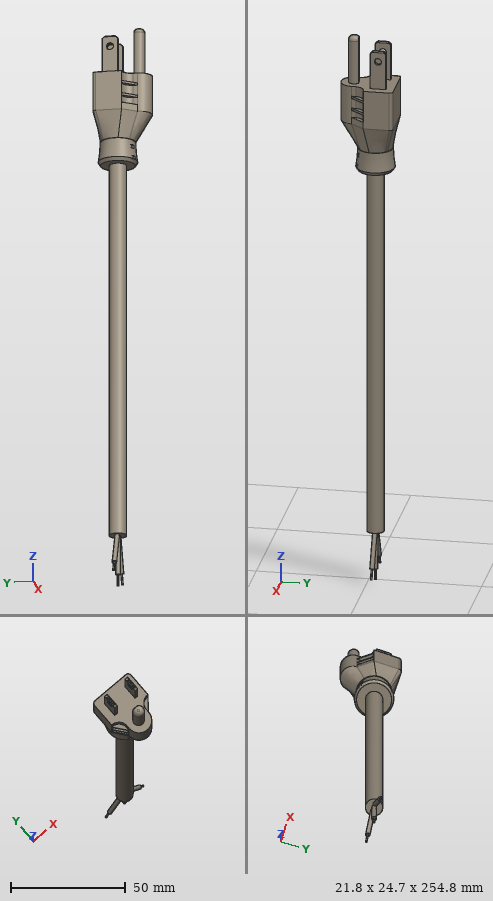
import cadquery as cq
import math


TOTAL_LENGTH = 254.8
CORD_BOTTOM = 23.0
CORD_TOP = 192.6
RIM_Z = 194.2
COLLAR_TOP = 203.0
HEAD_BOTTOM = 215.3
HEAD_TOP = 233.0
BLADE_TOP = 250.5

HEAD_HALF_WIDTH = 10.5
HEAD_BACK_Y = 9.5
HEAD_DEPTH = 24.7
NOSE_RADIUS = 5.5
NOSE_FRONT_Y = HEAD_BACK_Y - HEAD_DEPTH
NOSE_CENTER_Y = NOSE_FRONT_Y + NOSE_RADIUS
SHOULDER_Y = -3.5
BACK_CORNER_RADIUS = 1.5

GRIP_DEPTH = 14.5
GRIP_END_Y = -7.6
GRIP_RADIUS = 4.5
RIB_THICKNESS = 1.0
RIB_DEPTHS = (5.0, 10.7)

NECK_RADIUS = 7.6
COLLAR_RADIUS = 8.0
RIM_RADIUS = 8.7
COLLAR_END_RADIUS = 7.6
BACK_ANGLE = 53
SIDE_ANGLE = 45
SHOULDER_ANGLE = -11
NOSE_ANGLE = -52

RECESS_SIZE = 1.5
RECESS_DEPTH = 1.0
RECESS_X = 3.3
RECESS_HEIGHTS = (195.0, 200.0)

BLADE_X = 5.9
BLADE_Y = 2.3
BLADE_WIDTH = 7.0
BLADE_THICKNESS = 1.5
BLADE_CORNER = 1.3
BLADE_TIP_CHAMFER = 0.5
BLADE_HOLE_DIAMETER = 3.0
BLADE_HOLE_DEPTH = 4.8
PIN_Y = -9.5
PIN_RADIUS = 2.5
PIN_FLAT = 2.0
PIN_ROUNDING = 2.0

CORD_RADIUS = 3.8
WIRE_RADIUS = 1.0
CONDUCTOR_RADIUS = 0.38
MIDDLE_INSULATION = 17.8
SIDE_WIRE_X = 1.65
SIDE_WIRE_ANGLE = 25
SIDE_INSULATION = 16.3
SIDE_CONDUCTOR = 4.8
WIRE_ROOT = 1.3


def head_outline():
    """Plug head outline: flat back, diagonals towards a round nose. Starts at the left of the back."""
    back_x = HEAD_HALF_WIDTH - BACK_CORNER_RADIUS
    corner_y = HEAD_BACK_Y - BACK_CORNER_RADIUS
    return (
        cq.Workplane("XY")
        .workplane(offset=HEAD_BOTTOM)
        .moveTo(-back_x, HEAD_BACK_Y)
        .lineTo(back_x, HEAD_BACK_Y)
        .radiusArc((HEAD_HALF_WIDTH, corner_y), BACK_CORNER_RADIUS)
        .lineTo(HEAD_HALF_WIDTH, SHOULDER_Y)
        .lineTo(NOSE_RADIUS, NOSE_CENTER_Y)
        .threePointArc((0, NOSE_FRONT_Y), (-NOSE_RADIUS, NOSE_CENTER_Y))
        .lineTo(-HEAD_HALF_WIDTH, SHOULDER_Y)
        .lineTo(-HEAD_HALF_WIDTH, corner_y)
        .radiusArc((-back_x, HEAD_BACK_Y), BACK_CORNER_RADIUS)
        .close()
    )


def neck_outline():
    """Neck circle, split into one arc for each edge of the head outline."""
    right = [BACK_ANGLE, SIDE_ANGLE, SHOULDER_ANGLE, NOSE_ANGLE]
    left = [-180 - angle for angle in reversed(right)]
    angles = [180 - BACK_ANGLE] + right + left

    def point(angle):
        turn = math.radians(angle)
        return (NECK_RADIUS * math.cos(turn), NECK_RADIUS * math.sin(turn))

    outline = cq.Workplane("XY").workplane(offset=COLLAR_TOP).moveTo(*point(angles[0]))
    for start, end in zip(angles, angles[1:]):
        outline = outline.threePointArc(point((start + end) / 2), point(end))
    return outline.wire()


def make_grip(side):
    """Hollow to cut from one diagonal face (side is 1 or -1), with the ribs left standing."""
    hollow = (
        cq.Workplane("XY")
        .workplane(offset=HEAD_TOP - GRIP_DEPTH)
        .moveTo(side * HEAD_HALF_WIDTH, SHOULDER_Y)
        .radiusArc((side * NOSE_RADIUS, GRIP_END_Y), -side * GRIP_RADIUS)
        .lineTo(side * NOSE_RADIUS, NOSE_CENTER_Y)
        .lineTo(side * HEAD_HALF_WIDTH, NOSE_CENTER_Y)
        .close()
        .extrude(GRIP_DEPTH)
    )
    for depth in RIB_DEPTHS:
        rib = cq.Workplane("XY").box(2 * HEAD_HALF_WIDTH, 4 * HEAD_HALF_WIDTH, RIB_THICKNESS)
        hollow = hollow.cut(rib.translate((side * HEAD_HALF_WIDTH, 0, HEAD_TOP - depth)))
    return hollow


def make_head():
    head = head_outline().extrude(HEAD_TOP - HEAD_BOTTOM)
    for side in (-1, 1):
        head = head.cut(make_grip(side))
    return head


def make_neck():
    return cq.Workplane(
        cq.Solid.makeLoft([neck_outline().val(), head_outline().val()], True)
    )


def make_collar():
    flare_width = RIM_RADIUS - COLLAR_RADIUS
    flare_height = COLLAR_TOP - RIM_Z
    flare_radius = (flare_width**2 + flare_height**2) / (2 * flare_width)
    collar = (
        cq.Workplane("XZ")
        .moveTo(0, CORD_TOP)
        .lineTo(0, COLLAR_TOP)
        .lineTo(COLLAR_RADIUS, COLLAR_TOP)
        .radiusArc((RIM_RADIUS, RIM_Z), -flare_radius)
        .lineTo(COLLAR_END_RADIUS, CORD_TOP)
        .close()
        .revolve(360, (0, 0, 0), (0, 1, 0))
    )
    surface_y = -math.sqrt(COLLAR_RADIUS**2 - RECESS_X**2)
    for x in (-RECESS_X, RECESS_X):
        for z in RECESS_HEIGHTS:
            recess = cq.Workplane("XY").box(RECESS_SIZE, 2 * RECESS_DEPTH, RECESS_SIZE)
            collar = collar.cut(recess.translate((x, surface_y, z)))
    return collar


def make_blade(x):
    height = BLADE_TOP - HEAD_TOP
    blade = (
        cq.Workplane("XY")
        .box(BLADE_THICKNESS, BLADE_WIDTH, height, centered=(True, True, False))
        .edges("|X and >Z")
        .chamfer(BLADE_CORNER)
        .faces(">Z")
        .edges("|Y")
        .chamfer(BLADE_TIP_CHAMFER)
    )
    hole = (
        cq.Workplane("YZ")
        .center(0, height - BLADE_HOLE_DEPTH)
        .circle(BLADE_HOLE_DIAMETER / 2)
        .extrude(BLADE_THICKNESS, both=True)
    )
    return blade.cut(hole).translate((x, BLADE_Y, HEAD_TOP))


def make_ground_pin():
    height = TOTAL_LENGTH - HEAD_TOP
    pin = cq.Workplane("XY").circle(PIN_RADIUS).extrude(height).faces(">Z").edges().fillet(PIN_ROUNDING)
    behind_flat = (
        cq.Workplane("XY")
        .box(2 * PIN_RADIUS, PIN_RADIUS, height, centered=(True, False, False))
        .translate((0, PIN_FLAT, 0))
    )
    return pin.cut(behind_flat).translate((0, PIN_Y, HEAD_TOP))


def make_plug():
    plug = make_head().union(make_neck()).union(make_collar()).union(make_ground_pin())
    for x in (-BLADE_X, BLADE_X):
        plug = plug.union(make_blade(x))
    return plug


def make_wire(x, angle, insulation, conductor):
    """Wire leaving the cord end at x and leaning outwards by the angle, with its tip stripped bare."""
    insulation_end = cq.Workplane("XY").workplane(offset=-insulation)
    wire = insulation_end.circle(WIRE_RADIUS).extrude(insulation + WIRE_ROOT)
    bare_tip = insulation_end.circle(CONDUCTOR_RADIUS).extrude(-conductor)
    return wire.union(bare_tip).rotate((0, 0, 0), (0, 1, 0), angle).translate((x, 0, CORD_BOTTOM))


def make_cord():
    cord_end = cq.Workplane("XY").workplane(offset=CORD_BOTTOM)
    cord = cord_end.circle(CORD_RADIUS).extrude(CORD_TOP - CORD_BOTTOM)
    cord = cord.union(make_wire(0, 0, MIDDLE_INSULATION, CORD_BOTTOM - MIDDLE_INSULATION))
    for side in (-1, 1):
        wire = make_wire(side * SIDE_WIRE_X, -side * SIDE_WIRE_ANGLE, SIDE_INSULATION, SIDE_CONDUCTOR)
        cord = cord.union(wire)
    return cord


plug = make_plug()
cord = make_cord()

result = cq.Compound.makeCompound([plug.solids().val(), cord.solids().val()])